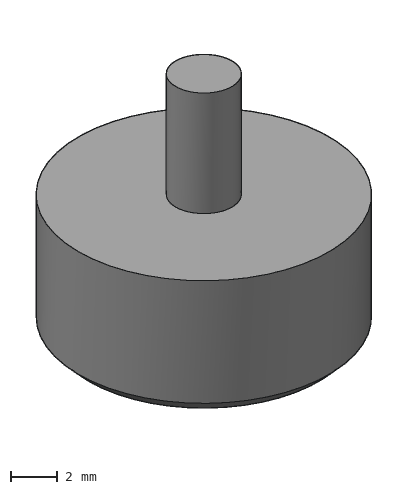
import cadquery as cq

total_height = 14.7
body_diameter = 14.3
pin_diameter = 3.2
pin_length = 6.0
cone_height = 2.0
chamfer_size = 0.6

body_radius = body_diameter / 2
pin_radius = pin_diameter / 2
cone_radius = body_radius - chamfer_size
wall_bottom = cone_height + chamfer_size
body_top = total_height - pin_length

half_section = (
    cq.Workplane("XZ")
    .moveTo(0, 0)
    .lineTo(cone_radius, cone_height)
    .lineTo(body_radius, wall_bottom)
    .lineTo(body_radius, body_top)
    .lineTo(pin_radius, body_top)
    .lineTo(pin_radius, total_height)
    .lineTo(0, total_height)
    .close()
)

result = half_section.revolve(360, (0, 0, 0), (0, 1, 0))